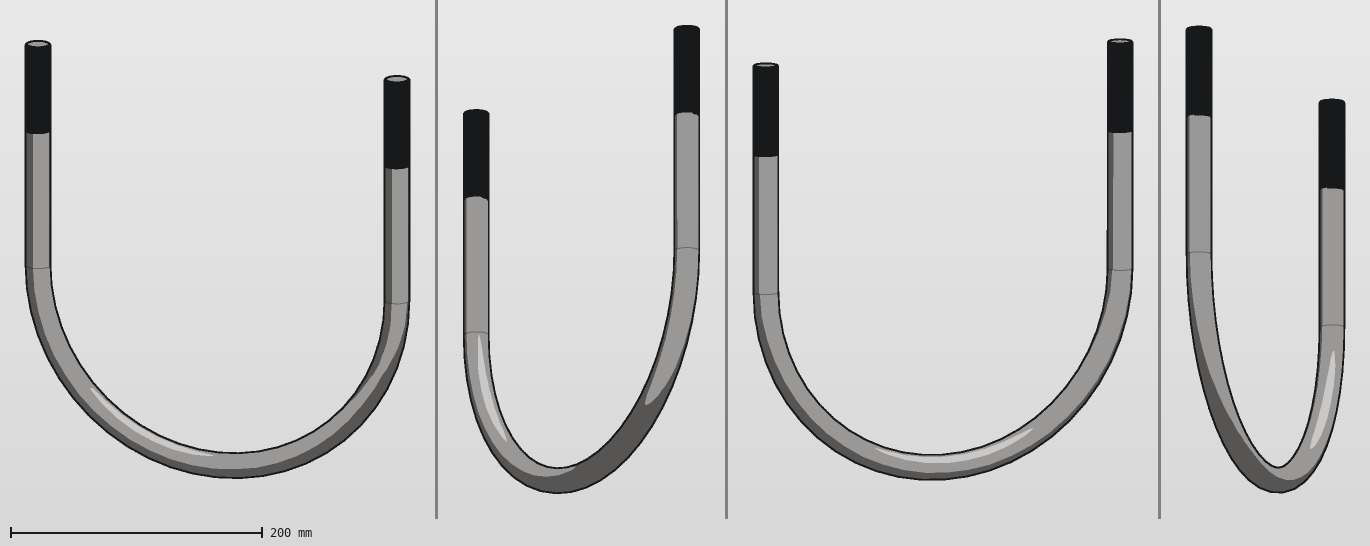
import cadquery as cq


ROD_DIAMETER = 20.0
OUTER_WIDTH = 322.0
OVERALL_HEIGHT = 344.0
END_CHAMFER = 1.0
THREAD_PITCH = 1.0
THREAD_DEPTH = 0.6
CREST_FLAT = THREAD_PITCH / 8

RUN_IN_TURNS = 2
TURNS_PER_BLOCK = 5
BLOCK_COUNT = 14
SPARE_TURNS = 1
SPARE_ROD = 5.0

CUTTER_OVERHANG = 0.05
SLICE_OVERSIZE = 1.0
JOINT_TOLERANCE = 1e-6

ROD_RADIUS = ROD_DIAMETER / 2
BEND_RADIUS = OUTER_WIDTH / 2 - ROD_RADIUS
LEG_LENGTH = OVERALL_HEIGHT - OUTER_WIDTH / 2
BLOCK_LENGTH = TURNS_PER_BLOCK * THREAD_PITCH
FIRST_JOINT = LEG_LENGTH - BLOCK_COUNT * BLOCK_LENGTH
THREAD_START = FIRST_JOINT - RUN_IN_TURNS * THREAD_PITCH
GROOVE_HALF_WIDTH = (THREAD_PITCH - CREST_FLAT) / 2


def make_cylinder(radius, bottom, top):
    """Cylinder on the Z axis between two heights."""
    return cq.Workplane("XY").workplane(offset=bottom).circle(radius).extrude(top - bottom)


def make_groove(turns):
    """Right-handed helical V groove that starts on the +X side of the rod."""
    start = THREAD_START + GROOVE_HALF_WIDTH
    mouth_radius = ROD_RADIUS + CUTTER_OVERHANG
    root_radius = ROD_RADIUS - THREAD_DEPTH
    length = turns * THREAD_PITCH
    helix = cq.Wire.makeHelix(THREAD_PITCH, length, ROD_RADIUS, cq.Vector(0, 0, start))
    profile = cq.Workplane("XZ").polyline([
        (mouth_radius, start - GROOVE_HALF_WIDTH),
        (root_radius, start),
        (mouth_radius, start + GROOVE_HALF_WIDTH),
    ]).close()
    return profile.sweep(cq.Workplane(helix), isFrenet=True)


def make_grooved_rod():
    """Shank with the thread run-in, one full block and some spare rod above it."""
    turns = RUN_IN_TURNS + TURNS_PER_BLOCK + SPARE_TURNS
    rod_top = THREAD_START + turns * THREAD_PITCH + SPARE_ROD
    rod = make_cylinder(ROD_RADIUS, 0, rod_top)
    rod = rod.rotate((0, 0, 0), (0, 0, 1), 180)
    return rod.cut(make_groove(turns))


def slice_rod(rod, bottom, top):
    """Part of the rod between two heights."""
    return rod.intersect(make_cylinder(ROD_RADIUS + SLICE_OVERSIZE, bottom, top))


def chamfer_end(block):
    """Thread block with a 45 degree chamfer around its top end."""
    envelope = make_cylinder(ROD_RADIUS + SLICE_OVERSIZE, FIRST_JOINT, FIRST_JOINT + BLOCK_LENGTH)
    envelope = envelope.faces(">Z").chamfer(END_CHAMFER + SLICE_OVERSIZE)
    return block.intersect(envelope)


def is_joint_face(face, joints):
    """True for a flat horizontal face where two pieces of the leg meet."""
    if face.geomType() != "PLANE":
        return False
    extent = face.BoundingBox()
    is_flat = extent.zlen < JOINT_TOLERANCE
    return is_flat and any(abs(face.Center().z - joint) < JOINT_TOLERANCE for joint in joints)


def make_leg():
    """Threaded leg, sewn from the outer faces of its stacked pieces."""
    rod = make_grooved_rod()
    block = slice_rod(rod, FIRST_JOINT, FIRST_JOINT + BLOCK_LENGTH)
    offsets = [index * BLOCK_LENGTH for index in range(BLOCK_COUNT)]
    pieces = [slice_rod(rod, 0, FIRST_JOINT)]
    pieces += [block.translate((0, 0, offset)) for offset in offsets[:-1]]
    pieces.append(chamfer_end(block).translate((0, 0, offsets[-1])))

    joints = [FIRST_JOINT + offset for offset in offsets]
    faces = [face for piece in pieces for face in piece.faces().vals()]
    outer_faces = [face for face in faces if not is_joint_face(face, joints)]
    return cq.Workplane(cq.Solid.makeSolid(cq.Shell.makeShell(outer_faces)))


def make_bend():
    """Half-circle bend joining the lower ends of the two legs."""
    section = cq.Workplane("XY").center(-BEND_RADIUS, 0).circle(ROD_RADIUS)
    return section.revolve(180, (BEND_RADIUS, 0, 0), (BEND_RADIUS, -1, 0))


def make_u_bolt():
    """Bend with a threaded leg on each end, as one solid."""
    leg = make_leg()
    u_bolt = make_bend()
    for side in (-1, 1):
        u_bolt = u_bolt.union(leg.translate((side * BEND_RADIUS, 0, 0)), clean=False)
    return cq.Workplane(u_bolt.solids().val())


result = make_u_bolt()